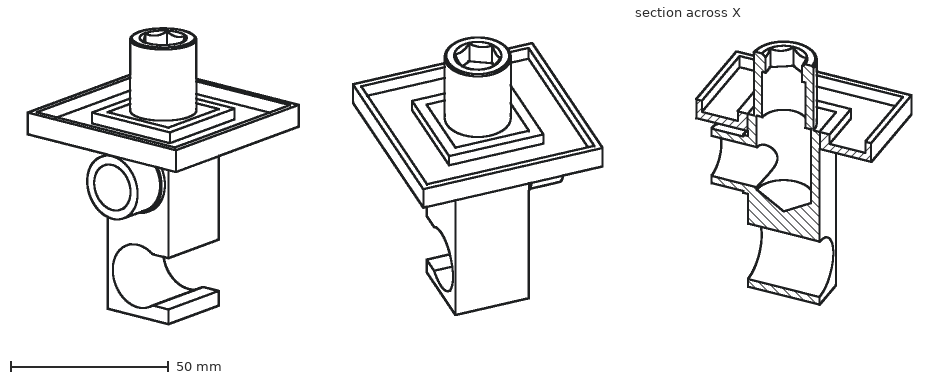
import cadquery as cq
import math

total_height = 89.6
plate_bottom = 58.8
plate_thickness = 7.3
plate_top = plate_bottom + plate_thickness

plate_width = 61.0
rim_width = 2.1
recess_depth = 4.2
boss_width = 32.1
boss_height = 3.6
recess_floor = plate_top - recess_depth
boss_top = recess_floor + boss_height

block_width = 25.0
block_front = -block_width / 2

stub_diameter = 21.0
stub_chamfer = 0.5
inlet_bore = 15.0
hex_across_flats = 12.6
hex_across_corners = hex_across_flats / math.cos(math.pi / 6)
hex_depth = 7.1
countersink_depth = (inlet_bore - hex_across_flats) / 2

chamber_diameter = 18.7
chamber_bottom = 37.6
drill_point_angle = 118.0
drill_point_depth = chamber_diameter / 2 / math.tan(math.radians(drill_point_angle / 2))

spout_length = 12.7
spout_diameter = 20.8
spout_bore = inlet_bore
collar_diameter = 22.1
collar_length = 1.6
spout_height = 46.05

seat_diameter = 20.8
seat_height = 13.4
seat_mouth = 17.0


def square_bar(width, bottom, top):
    return cq.Workplane("XY").workplane(offset=bottom).rect(width, width).extrude(top - bottom)


def upright_cylinder(diameter, bottom, top):
    return cq.Workplane("XY").workplane(offset=bottom).circle(diameter / 2).extrude(top - bottom)


def forward_cylinder(diameter, start_y, length):
    """Cylinder on the spout axis, running from start_y towards -Y."""
    plane = cq.Plane(origin=(0, start_y, spout_height), xDir=(1, 0, 0), normal=(0, -1, 0))
    return cq.Workplane(plane).circle(diameter / 2).extrude(length)


def downward_cone(diameter, depth, top, tip_diameter=0.0):
    cone = cq.Solid.makeCone(
        diameter / 2, tip_diameter / 2, depth, pnt=cq.Vector(0, 0, top), dir=cq.Vector(0, 0, -1)
    )
    return cq.Workplane(obj=cone)


def make_cover_plate():
    plate = square_bar(plate_width, plate_bottom, plate_top)
    plate = plate.cut(square_bar(plate_width - 2 * rim_width, recess_floor, plate_top))
    plate = plate.union(square_bar(boss_width, recess_floor, boss_top))
    return plate.cut(square_bar(block_width, plate_bottom, boss_top))


def make_inlet_stub():
    stub = upright_cylinder(stub_diameter, boss_top, total_height)
    return stub.faces(">Z").edges().chamfer(stub_chamfer)


def make_spout():
    spout = forward_cylinder(spout_diameter, block_front, spout_length)
    return spout.union(forward_cylinder(collar_diameter, block_front, collar_length))


def make_water_passage():
    """Hex socket, inlet bore, chamber and spout bore as one cutting shape."""
    hex_bottom = total_height - hex_depth
    hex_socket = (
        cq.Workplane("XY").workplane(offset=hex_bottom).polygon(6, hex_across_corners).extrude(hex_depth)
    )
    countersink = downward_cone(inlet_bore, countersink_depth, total_height, hex_across_flats)
    inlet = upright_cylinder(inlet_bore, boss_top, hex_bottom)
    chamber = upright_cylinder(chamber_diameter, chamber_bottom, boss_top)
    drill_point = downward_cone(chamber_diameter, drill_point_depth, chamber_bottom)
    outlet = forward_cylinder(spout_bore, 0, block_width / 2 + spout_length)
    return hex_socket.union(countersink).union(inlet).union(chamber).union(drill_point).union(outlet)


def make_holder_seat():
    """Round seat and its mouth, running through the block along Y."""
    seat_plane = cq.Workplane("XZ", origin=(0, 0, seat_height))
    seat = seat_plane.circle(seat_diameter / 2).extrude(block_width / 2, both=True)
    mouth_length = block_width / 2
    mouth = (
        seat_plane.center(mouth_length / 2, 0)
        .rect(mouth_length, seat_mouth)
        .extrude(block_width / 2, both=True)
    )
    return seat.union(mouth)


def make_outlet_body():
    body = square_bar(block_width, 0, boss_top)
    body = body.union(make_inlet_stub()).union(make_spout())
    return body.cut(make_water_passage()).cut(make_holder_seat())


cover_plate = make_cover_plate()
outlet_body = make_outlet_body()

result = cq.Compound.makeCompound([cover_plate.solids().val(), outlet_body.solids().val()])